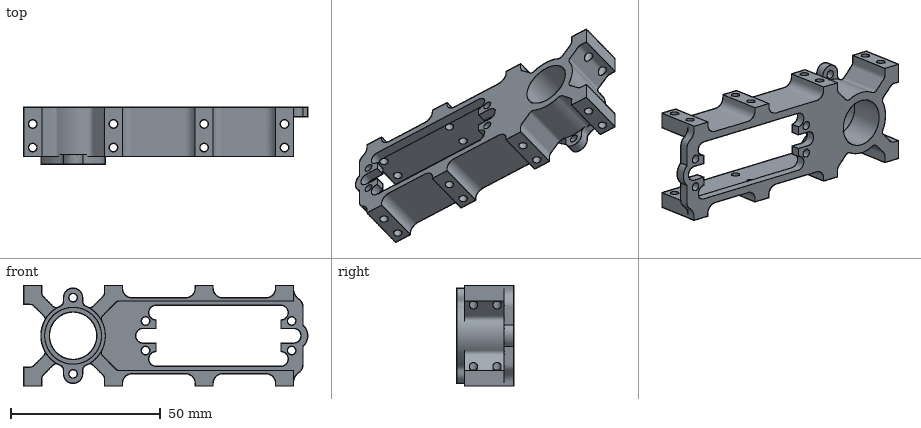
import cadquery as cq
import math


BODY_DEPTH = 16.5
TOTAL_DEPTH = 19.05
WEB_THICKNESS = 3.2
EAR_THICKNESS = 3.2

RING_RADIUS = 10.76
BORE_RADIUS = 7.9
COUNTERBORE_RADIUS = 9.5
COUNTERBORE_DEPTH = 6.6

HALF_HEIGHT = 16.8
FOOT_WIDTH = 6.1
FOOT_CENTERS = (-13.5, 13.5, 43.7, 70.5)
END_FOOT_BOTTOM = 10.4
FOOT_HOLE_DIAMETER = 2.75
FOOT_HOLE_DEPTHS = (5.6, 13.5)

FLANGE_INNER = 11.6
FLANGE_OUTER = 12.7
FLANGE_FILLET = 3.1

ARM_WIDTH = 4.5
ARM_HALF_LENGTH = 19.0
ARM_FILLET = 1.5
ARM_FOOT_FILLET = 2.0

EAR_OFFSET = 12.7
EAR_RADIUS = 3.2
EAR_FILLET = 2.0
SCREW_HOLE_DIAMETER = 2.75

WEB_END = 76.7
WEB_SHOULDER = 9.7
WEB_CORNER_RADIUS = 3.1
WEB_HOLLOW_RADIUS = 4.0
SLOT_WIDTH = 4.8
SLOT_CENTERS = (23.3, 73.55)
WINDOW_ENDS = (27.7, 69.3)
WINDOW_HALF_HEIGHT = 10.1
TIP_RADIUS = 4.7
WEB_HOLE_XS = (24.2, 72.9)
WEB_HOLE_OFFSET = 4.9

SIDES = (1, -1)
FLANGE_END = FOOT_CENTERS[-1] + FOOT_WIDTH / 2


def plane_at(depth):
    """XZ plane at a depth in front of the back face; it extrudes toward -Y."""
    return cq.Workplane("XZ", origin=(0, -depth, 0))


def block(x_min, x_max, z_min, z_max, depth):
    """Box reaching forward from the back face."""
    return (
        plane_at(0)
        .center((x_min + x_max) / 2, (z_min + z_max) / 2)
        .rect(x_max - x_min, z_max - z_min)
        .extrude(depth)
    )


def fillet_at(solid, points, depth, radius):
    """Round the Y-parallel edges that pass through the given (x, z) points."""
    edges = solid.edges("|Y")
    picked = [
        edges.edges(cq.selectors.NearestToPointSelector((x, -depth, z))).val()
        for x, z in points
    ]
    return solid.newObject(picked).fillet(radius)


def make_body():
    """Ring, diagonal arms, feet and flanges, all of the body depth."""
    body = plane_at(0).circle(RING_RADIUS).extrude(BODY_DEPTH)
    for angle in (45, -45):
        arm = plane_at(0).rect(2 * ARM_HALF_LENGTH, ARM_WIDTH).extrude(BODY_DEPTH)
        body = body.union(arm.rotate((0, 0, 0), (0, 1, 0), angle))

    for side in SIDES:
        for center in FOOT_CENTERS:
            bottom = END_FOOT_BOTTOM if center == FOOT_CENTERS[0] else FLANGE_INNER
            left = center - FOOT_WIDTH / 2
            z_range = sorted((side * bottom, side * HALF_HEIGHT))
            body = body.union(block(left, left + FOOT_WIDTH, *z_range, BODY_DEPTH))
        z_range = sorted((side * FLANGE_INNER, side * FLANGE_OUTER))
        body = body.union(block(FOOT_CENTERS[1], FLANGE_END, *z_range, BODY_DEPTH))

    edge_shift = ARM_WIDTH / math.sqrt(2)
    root_angle = math.asin(ARM_WIDTH / 2 / RING_RADIUS)
    near = RING_RADIUS * math.cos(math.pi / 4 + root_angle)
    far = RING_RADIUS * math.sin(math.pi / 4 + root_angle)
    foot_inner = FOOT_CENTERS[1] - FOOT_WIDTH / 2

    ring_corners = []
    foot_corners = []
    pocket_corners = []
    flange_corners = []
    for side in SIDES:
        for x_side in SIDES:
            ring_corners += [(x_side * near, side * far), (x_side * far, side * near)]
            foot_corners.append((x_side * foot_inner, side * (foot_inner + edge_shift)))
        foot_corners.append((-END_FOOT_BOTTOM - edge_shift, side * END_FOOT_BOTTOM))
        pocket_corners.append((FLANGE_INNER + edge_shift, side * FLANGE_INNER))
        for first, second in zip(FOOT_CENTERS[1:], FOOT_CENTERS[2:]):
            flange_corners += [
                (first + FOOT_WIDTH / 2, side * FLANGE_OUTER),
                (second - FOOT_WIDTH / 2, side * FLANGE_OUTER),
            ]

    middle = BODY_DEPTH / 2
    body = fillet_at(body, ring_corners + pocket_corners, middle, ARM_FILLET)
    body = fillet_at(body, foot_corners, middle, ARM_FOOT_FILLET)
    return fillet_at(body, flange_corners, middle, FLANGE_FILLET)


def make_web():
    """Back plate between the flanges, with a rounded tip at the far end."""
    turn = math.acos(1 - (WEB_END - FLANGE_END) / (WEB_CORNER_RADIUS + WEB_HOLLOW_RADIUS))
    curve_x = WEB_END - WEB_CORNER_RADIUS * (1 - math.cos(turn))
    curve_z = WEB_SHOULDER + WEB_CORNER_RADIUS * math.sin(turn)
    curve_top = curve_z + WEB_HOLLOW_RADIUS * math.sin(turn)
    tip_center = SLOT_CENTERS[1]
    tip_root = math.sqrt(TIP_RADIUS**2 - (WEB_END - tip_center) ** 2)
    return (
        plane_at(0)
        .lineTo(FLANGE_INNER, FLANGE_INNER)
        .lineTo(FLANGE_END, FLANGE_INNER)
        .lineTo(FLANGE_END, curve_top)
        .radiusArc((curve_x, curve_z), -WEB_HOLLOW_RADIUS)
        .radiusArc((WEB_END, WEB_SHOULDER), WEB_CORNER_RADIUS)
        .lineTo(WEB_END, tip_root)
        .threePointArc((tip_center + TIP_RADIUS, 0), (WEB_END, -tip_root))
        .lineTo(WEB_END, -WEB_SHOULDER)
        .radiusArc((curve_x, -curve_z), WEB_CORNER_RADIUS)
        .radiusArc((FLANGE_END, -curve_top), -WEB_HOLLOW_RADIUS)
        .lineTo(FLANGE_END, -FLANGE_INNER)
        .lineTo(FLANGE_INNER, -FLANGE_INNER)
        .close()
        .extrude(WEB_THICKNESS)
    )


def make_window():
    """Cutter for the web window: a rectangle with three round-ended slots across it."""
    window = block(*WINDOW_ENDS, -WINDOW_HALF_HEIGHT, WINDOW_HALF_HEIGHT, WEB_THICKNESS)
    lobe_offset = WINDOW_HALF_HEIGHT - SLOT_WIDTH / 2
    slots = (
        (SLOT_CENTERS, 0),
        (WINDOW_ENDS, lobe_offset),
        (WINDOW_ENDS, -lobe_offset),
    )
    for (left, right), z in slots:
        slot = (
            plane_at(0)
            .center((left + right) / 2, z)
            .slot2D(right - left + SLOT_WIDTH, SLOT_WIDTH)
            .extrude(WEB_THICKNESS)
        )
        window = window.union(slot)
    return window


def make_nose():
    """Front end of the ring with its two ears and their screw holes."""
    start = TOTAL_DEPTH - EAR_THICKNESS
    ear_points = [(0, side * EAR_OFFSET) for side in SIDES]
    nose = plane_at(start).circle(RING_RADIUS).extrude(EAR_THICKNESS)
    ears = (
        plane_at(start)
        .slot2D(2 * (EAR_OFFSET + EAR_RADIUS), 2 * EAR_RADIUS, 90)
        .extrude(EAR_THICKNESS)
    )
    nose = nose.union(ears)
    root = math.sqrt(RING_RADIUS**2 - EAR_RADIUS**2)
    corners = [(x_side * EAR_RADIUS, side * root) for x_side in SIDES for side in SIDES]
    nose = fillet_at(nose, corners, start + EAR_THICKNESS / 2, EAR_FILLET)
    holes = (
        plane_at(start)
        .pushPoints(ear_points)
        .circle(SCREW_HOLE_DIAMETER / 2)
        .extrude(EAR_THICKNESS)
    )
    return nose.cut(holes)


def make_foot_holes():
    """Vertical cutters through the upper and lower feet."""
    points = [(x, -depth) for x in FOOT_CENTERS for depth in FOOT_HOLE_DEPTHS]
    return (
        cq.Workplane("XY")
        .pushPoints(points)
        .circle(FOOT_HOLE_DIAMETER / 2)
        .extrude(HALF_HEIGHT, both=True)
    )


def make_web_holes():
    """Cutters for the screw holes beside the window."""
    points = [(x, side * WEB_HOLE_OFFSET) for x in WEB_HOLE_XS for side in SIDES]
    return (
        plane_at(0)
        .pushPoints(points)
        .circle(SCREW_HOLE_DIAMETER / 2)
        .extrude(WEB_THICKNESS)
    )


bore = plane_at(0).circle(BORE_RADIUS).extrude(TOTAL_DEPTH)
counterbore = (
    plane_at(TOTAL_DEPTH - COUNTERBORE_DEPTH)
    .circle(COUNTERBORE_RADIUS)
    .extrude(COUNTERBORE_DEPTH)
)

result = (
    make_body()
    .union(make_web())
    .union(make_nose())
    .cut(make_window())
    .cut(make_web_holes())
    .cut(make_foot_holes())
    .cut(bore)
    .cut(counterbore)
)